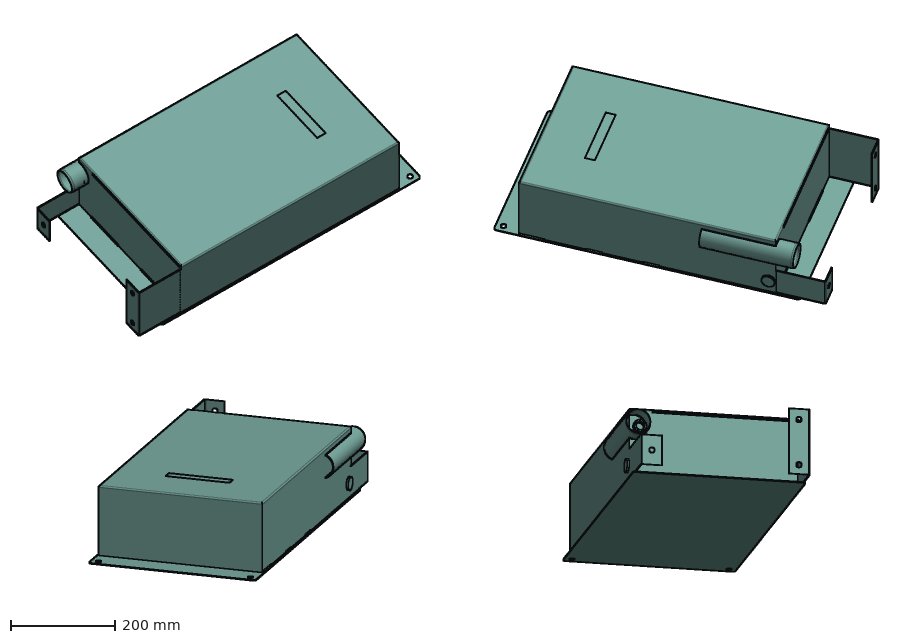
import cadquery as cq

overall_length = 670.5
overall_height = 143.0
back_y = overall_length / 2
front_y = -overall_length / 2
sheet = 2.0

plate_width = 340.0
plate_length = 619.5
plate_corner_radius = 6.0
plate_hole_diameter = 11.0
plate_hole_x = 155.0
plate_hole_from_back = 15.5

box_inset = 3.15
box_width = plate_width - 2 * box_inset
box_length = 519.5
box_back_y = back_y - 50.0
box_front_y = box_back_y - box_length
box_left_x = -box_width / 2
bend_radius = 3.0
label_length = 130.0
label_width = 20.0
label_depth = 1.0
label_y = 174.0

flange_width = 41.5
left_bracket_top = 62.0
right_bracket_top = 133.0
bracket_hole_diameter = 11.0
bracket_hole_x = 145.0
left_hole_heights = [31.5]
right_hole_heights = [21.0, 111.0]

tube_diameter = 50.0
tube_bore = 47.0
tube_front_y = -274.0
tube_length = 190.0
tube_overhang = 13.5
tube_x = -plate_width / 2 - tube_overhang + tube_diameter / 2
tube_z = 106.0
tube_chamfer_length = 5.0
tube_chamfer_depth = 1.0

gland_diameter = 25.0
gland_bore = 17.0
gland_length = 10.0
gland_x = -147.5
stud_diameter = 10.0
stud_length = 10.0
button_diameter = 27.0
button_height = 4.0
button_y = -220.0
button_z = 31.5

front_bead_depth = 1.5
front_bead_height = 3.5
side_bead_width = box_inset
side_bead_height = 2.0
plate_front_beads = [(-125.0, -36.0), (36.0, 125.0)]
plate_left_beads = [(233.0, 284.0), (117.0, 149.0), (1.5, 33.5)]
lid_bead = (-121.5, 162.0)
lid_bead_z = overall_height - bend_radius - front_bead_height


def block(x_range, y_range, z_range):
    """Axis-aligned block between pairs of limits."""
    size = [high - low for low, high in (x_range, y_range, z_range)]
    corner = (x_range[0], y_range[0], z_range[0])
    return cq.Workplane("XY").box(*size, centered=False).translate(corner)


def rod_along_y(x, z, diameter, y_start, length):
    """Cylinder running from y_start toward the back."""
    plane = cq.Plane(origin=(x, y_start, z), xDir=(1, 0, 0), normal=(0, 1, 0))
    return cq.Workplane(plane).circle(diameter / 2).extrude(length)


def rod_on_left_wall(y, z, diameter, height):
    """Cylinder standing out from the left wall of the box."""
    plane = cq.Plane(origin=(box_left_x, y, z), xDir=(0, 1, 0), normal=(-1, 0, 0))
    return cq.Workplane(plane).circle(diameter / 2).extrude(height)


def make_plate():
    plate = block(
        (-plate_width / 2, plate_width / 2), (back_y - plate_length, back_y), (0, sheet)
    ).edges("|Z").fillet(plate_corner_radius)
    holes = (
        cq.Workplane("XY")
        .pushPoints([(side * plate_hole_x, back_y - plate_hole_from_back) for side in (-1, 1)])
        .circle(plate_hole_diameter / 2)
        .extrude(sheet)
    )
    return plate.cut(holes)


def make_box():
    box = block(
        (box_left_x, -box_left_x), (box_front_y, box_back_y), (sheet, overall_height)
    ).faces(">Z").edges().fillet(bend_radius)
    label = cq.Workplane("XY").box(label_length, label_width, 2 * label_depth)
    return box.cut(label.translate((0, label_y, overall_height)))


def make_bracket(side, top, hole_heights):
    """Angle bracket: a side strip running forward from the box and an inward flange with holes."""
    outer = side * box_width / 2
    inner = outer - side * flange_width
    outline = [
        (outer, box_front_y),
        (outer, front_y),
        (inner, front_y),
        (inner, front_y + sheet),
        (outer - side * sheet, front_y + sheet),
        (outer - side * sheet, box_front_y),
    ]
    bracket = cq.Workplane("XY").workplane(offset=sheet).polyline(outline).close().extrude(top - sheet)
    outer_corner = cq.selectors.NearestToPointSelector((outer, front_y, top / 2))
    bracket = bracket.edges(outer_corner).fillet(bend_radius)
    for height in hole_heights:
        hole = rod_along_y(side * bracket_hole_x, height, bracket_hole_diameter, front_y, sheet)
        bracket = bracket.cut(hole)
    return bracket


def make_tube():
    tube = rod_along_y(tube_x, tube_z, tube_diameter, tube_front_y, tube_length)
    tube = tube.faces("<Y").chamfer(tube_chamfer_length, tube_chamfer_depth)
    return tube.cut(rod_along_y(tube_x, tube_z, tube_bore, tube_front_y, tube_length))


def make_gland():
    start = box_front_y - gland_length
    gland = rod_along_y(gland_x, tube_z, gland_diameter, start, gland_length)
    return gland.cut(rod_along_y(gland_x, tube_z, gland_bore, start, gland_length))


def bead_along_x(x_range, z):
    """Triangular bead against the front wall of the box."""
    start, end = x_range
    profile = [
        (box_front_y, z),
        (box_front_y - front_bead_depth, z),
        (box_front_y, z + front_bead_height),
    ]
    return cq.Workplane("YZ").workplane(offset=start).polyline(profile).close().extrude(end - start)


def bead_along_y(y_range):
    """Triangular bead between the plate and the left wall of the box."""
    start, end = y_range
    plane = cq.Plane(origin=(box_left_x, start, sheet), xDir=(-1, 0, 0), normal=(0, 1, 0))
    profile = [(0, 0), (side_bead_width, 0), (0, side_bead_height)]
    return cq.Workplane(plane).polyline(profile).close().extrude(end - start)


result = make_plate().union(make_box())
result = result.union(make_bracket(-1, left_bracket_top, left_hole_heights))
result = result.union(make_bracket(1, right_bracket_top, right_hole_heights))
result = result.union(make_tube()).union(make_gland())
result = result.union(rod_on_left_wall(tube_front_y + tube_length / 2, tube_z, stud_diameter, stud_length))
result = result.union(rod_on_left_wall(button_y, button_z, button_diameter, button_height))
for x_range in plate_front_beads:
    result = result.union(bead_along_x(x_range, sheet))
for y_range in plate_left_beads:
    result = result.union(bead_along_y(y_range))
result = result.union(bead_along_x(lid_bead, lid_bead_z))